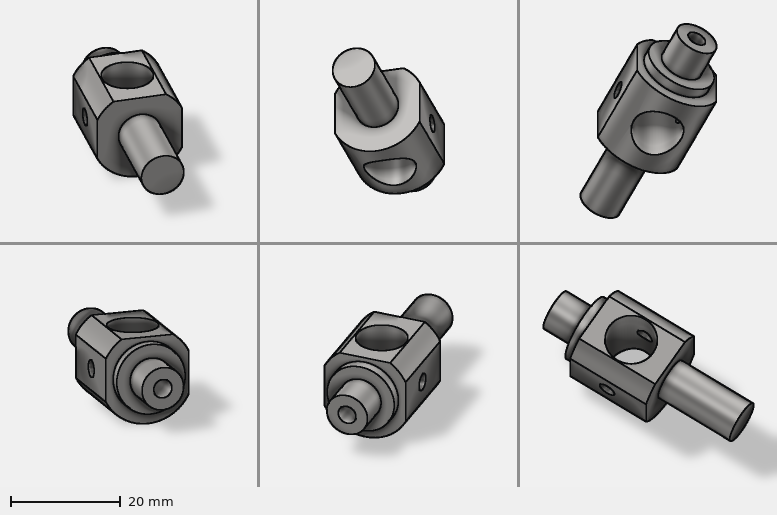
import cadquery as cq
import math

total_length = 40.5
front_shaft_length = 6.5
collar_length = 2.0
body_length = 16.5
body_start = front_shaft_length + collar_length
body_end = body_start + body_length
rear_shaft_length = total_length - body_end

shaft_diameter = 8.0
collar_diameter = 13.2
body_radius = 9.0
body_width = 16.0
top_flat_height = 7.5

cross_hole_x = 16.5
vertical_bore_diameter = 9.5
side_hole_diameter = 3.2
end_hole_diameter = 3.5
end_hole_depth = 8.1
drill_tip_angle = 118.0


def cylinder_along_x(start, length, diameter):
    """Solid cylinder on the X axis."""
    return cq.Workplane("YZ", origin=(start, 0, 0)).circle(diameter / 2).extrude(length)


def make_body():
    """Round bar with two side flats and a top flat."""
    bar = cylinder_along_x(body_start, body_length, 2 * body_radius)
    envelope_height = body_radius + top_flat_height
    envelope = cq.Workplane("XY", origin=(body_start, 0, -body_radius)).box(
        body_length, body_width, envelope_height, centered=(False, True, False)
    )
    return bar.intersect(envelope)


def through_hole(plane, diameter):
    """Cutter crossing the whole body at the cross-hole position."""
    return (
        cq.Workplane(plane, origin=(cross_hole_x, 0, 0))
        .circle(diameter / 2)
        .extrude(2 * body_radius, both=True)
    )


def end_hole():
    """Blind drilled hole with a conical tip, cut from the front shaft end."""
    radius = end_hole_diameter / 2
    tip_length = radius / math.tan(math.radians(drill_tip_angle / 2))
    return (
        cq.Workplane("XY")
        .moveTo(0, 0)
        .lineTo(0, radius)
        .lineTo(end_hole_depth, radius)
        .lineTo(end_hole_depth + tip_length, 0)
        .close()
        .revolve(360, (0, 0, 0), (1, 0, 0))
    )


result = (
    make_body()
    .union(cylinder_along_x(0, front_shaft_length, shaft_diameter))
    .union(cylinder_along_x(front_shaft_length, collar_length, collar_diameter))
    .union(cylinder_along_x(body_end, rear_shaft_length, shaft_diameter))
    .cut(through_hole("XY", vertical_bore_diameter))
    .cut(through_hole("XZ", side_hole_diameter))
    .cut(end_hole())
)